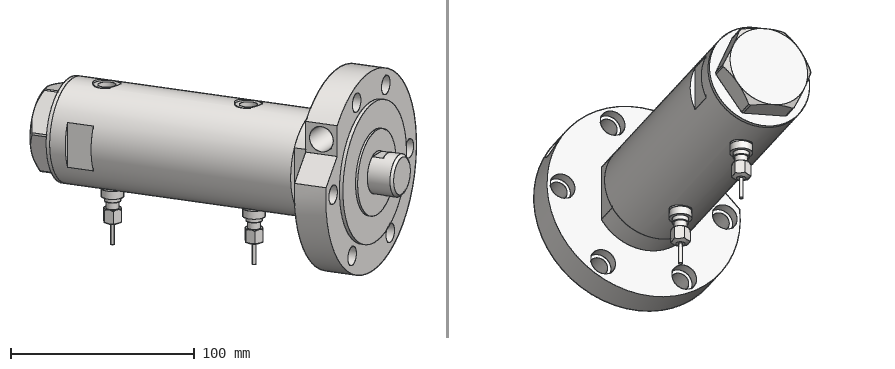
import cadquery as cq
import math


RING_START = 13.0
BARREL_START = 15.2
HEAD_START = 160.5
FLANGE_START = 175.9
FLANGE_END = 194.9
SPIGOT_END = 197.0
GLAND_END = 198.3
ROD_FLAT_END = 204.9
ROD_END = 213.5

BARREL_DIAMETER = 59.1
BARREL_RADIUS = BARREL_DIAMETER / 2
BORE_RADIUS = 22.5
BARREL_FLAT_START = 24.5
BARREL_FLAT_LENGTH = 15.5
BARREL_FLAT_OFFSET = 26.7

PORT_SPACING = 85.4
FIRST_PORT_X = 35.5
PORT_RADIUS = 5.0
SPOTFACE_RADIUS = 7.7
SPOTFACE_HEIGHT = 28.4

HEX_INRADIUS = 22.8
HEX_CORNER_RADIUS = 26.0
HEX_CHAMFER_LENGTH = 2.8
HEX_TURN = 7.0
CAP_PLUG_END = 25.6
CAP_NOSE_RADIUS = 18.1
CAP_NOSE_END = 38.5

PISTON_LENGTH = 25.6
ROD_RADIUS = 12.0
ROD_FLAT_OFFSET = 10.5
ROD_CHAMFER = 1.5

GLAND_START = 122.3
GLAND_RADIUS = 24.1

HUB_FLAT_OFFSET = 25.0
FLANGE_RADIUS = 57.0
SPIGOT_RADIUS = 40.0
NOTCH_OFFSET = 42.7
NOTCH_BOTTOM = 20.3
CROSS_HOLE_DIAMETER = 14.3
CROSS_HOLE_HEIGHT = 28.8
BOLT_CIRCLE_RADIUS = 47.8
BOLT_ANGLES = [0, 67.5, 112.5, 180, 240, 300]
BOLT_HOLE_RADIUS = 5.3
COUNTERBORE_RADIUS = 7.3
COUNTERBORE_DEPTH = 6.5

FIRST_SENSOR_X = 38.8
COLLAR_RADIUS = 6.2
BOSS_DEPTH = 30.0
COLLAR_DEPTH = 34.5
SHOULDER_RADIUS = 4.5
SHOULDER_DEPTH = 37.1
NECK_RADIUS = 3.6
NECK_DEPTH = 41.2
NUT_INRADIUS = 4.7
NUT_DEPTH = 50.0
NUT_TOP_CHAMFER = 0.6
NUT_CONE_LENGTH = 1.3
NUT_CONE_END_RADIUS = 2.5
CABLE_RADIUS = 1.0
SENSOR_DEPTH = 61.9


def x_cylinder(radius, start, end):
    return cq.Workplane("YZ").workplane(offset=start).circle(radius).extrude(end - start)


def z_cylinder(x, radius, low, high):
    return cq.Workplane("XY").workplane(offset=low).center(x, 0).circle(radius).extrude(high - low)


def hexagon_circumradius(inradius):
    return inradius / math.cos(math.pi / 6)


def block_between(x_range, y_range, z_range):
    ranges = (x_range, y_range, z_range)
    size = [high - low for low, high in ranges]
    corner = [low for low, high in ranges]
    return cq.Workplane("XY").box(*size, centered=False).translate(tuple(corner))


def cut_side_flats(body, offset, start, end):
    """Cut flats on the +Y and -Y sides, down to a distance from the axis."""
    reach = BARREL_RADIUS + 2.1
    for y_range in ((offset, reach), (-reach, -offset)):
        body = body.cut(block_between((start, end), y_range, (-reach, reach)))
    return body


def make_barrel():
    barrel = x_cylinder(BARREL_RADIUS, BARREL_START, HEAD_START)
    barrel = cut_side_flats(
        barrel, BARREL_FLAT_OFFSET, BARREL_FLAT_START, BARREL_FLAT_START + BARREL_FLAT_LENGTH
    )
    for x in sensor_places:
        barrel = barrel.union(z_cylinder(x, COLLAR_RADIUS, -BOSS_DEPTH, -BORE_RADIUS))
    barrel = barrel.cut(x_cylinder(BORE_RADIUS, BARREL_START, GLAND_START))
    barrel = barrel.cut(x_cylinder(GLAND_RADIUS, GLAND_START, HEAD_START))
    for x in port_places:
        barrel = barrel.cut(z_cylinder(x, PORT_RADIUS, 0, BARREL_RADIUS))
        barrel = barrel.cut(z_cylinder(x, SPOTFACE_RADIUS, SPOTFACE_HEIGHT, BARREL_RADIUS))
    return barrel


def make_cap():
    hexagon = (
        cq.Workplane("YZ")
        .polygon(6, 2 * hexagon_circumradius(HEX_INRADIUS))
        .extrude(RING_START)
        .rotate((0, 0, 0), (1, 0, 0), -HEX_TURN)
    )
    turned_envelope = (
        cq.Workplane("XY")
        .moveTo(0, 0)
        .lineTo(0, HEX_INRADIUS)
        .lineTo(HEX_CHAMFER_LENGTH, HEX_CORNER_RADIUS)
        .lineTo(RING_START, HEX_CORNER_RADIUS)
        .lineTo(RING_START, 0)
        .close()
        .revolve(360, (0, 0, 0), (1, 0, 0))
    )
    ring = x_cylinder(BARREL_RADIUS, RING_START, BARREL_START)
    plug = x_cylinder(BORE_RADIUS, BARREL_START, CAP_PLUG_END)
    nose = x_cylinder(CAP_NOSE_RADIUS, CAP_PLUG_END, CAP_NOSE_END)
    return hexagon.intersect(turned_envelope).union(ring).union(plug).union(nose)


def make_piston_rod():
    piston_end = CAP_NOSE_END + PISTON_LENGTH
    piston = x_cylinder(BORE_RADIUS, CAP_NOSE_END, piston_end)
    rod = x_cylinder(ROD_RADIUS, piston_end, ROD_END).faces(">X").chamfer(ROD_CHAMFER)
    for z_range in ((ROD_FLAT_OFFSET, ROD_RADIUS), (-ROD_RADIUS, -ROD_FLAT_OFFSET)):
        rod = rod.cut(block_between((GLAND_END, ROD_FLAT_END), (-ROD_RADIUS, ROD_RADIUS), z_range))
    return piston.union(rod)


def make_gland():
    gland = x_cylinder(GLAND_RADIUS, GLAND_START, GLAND_END)
    return gland.cut(x_cylinder(ROD_RADIUS, GLAND_START, GLAND_END))


def cut_flange_notch(flange):
    """Notch on the -Y side, with a vertical wall and a 45 degree wall below it."""
    rise = FLANGE_RADIUS - NOTCH_OFFSET
    notch = (
        cq.Workplane("YZ")
        .workplane(offset=FLANGE_START)
        .moveTo(-NOTCH_OFFSET, FLANGE_RADIUS)
        .lineTo(-NOTCH_OFFSET, NOTCH_BOTTOM)
        .lineTo(-NOTCH_OFFSET - rise, NOTCH_BOTTOM - rise)
        .lineTo(-NOTCH_OFFSET - rise, FLANGE_RADIUS)
        .close()
        .extrude(FLANGE_END - FLANGE_START)
    )
    return flange.cut(notch)


def cut_cross_hole(flange):
    """Hole along Y through the full width of the flange."""
    hole = (
        cq.Workplane("XZ")
        .workplane(offset=-FLANGE_RADIUS)
        .center((FLANGE_START + FLANGE_END) / 2, CROSS_HOLE_HEIGHT)
        .circle(CROSS_HOLE_DIAMETER / 2)
        .extrude(2 * FLANGE_RADIUS)
    )
    return flange.cut(hole)


def cut_bolt_holes(flange):
    """Through holes, counterbored from the barrel side."""
    for degrees in BOLT_ANGLES:
        angle = math.radians(degrees)
        place = (0, BOLT_CIRCLE_RADIUS * math.cos(angle), BOLT_CIRCLE_RADIUS * math.sin(angle))
        hole = x_cylinder(BOLT_HOLE_RADIUS, FLANGE_START, FLANGE_END)
        counterbore = x_cylinder(COUNTERBORE_RADIUS, FLANGE_START, FLANGE_START + COUNTERBORE_DEPTH)
        flange = flange.cut(hole.union(counterbore).translate(place))
    return flange


def make_head():
    hub = x_cylinder(BARREL_RADIUS, HEAD_START, FLANGE_START)
    hub = cut_side_flats(hub, HUB_FLAT_OFFSET, HEAD_START, FLANGE_START)
    flange = x_cylinder(FLANGE_RADIUS, FLANGE_START, FLANGE_END)
    flange = cut_bolt_holes(cut_cross_hole(cut_flange_notch(flange)))
    spigot = x_cylinder(SPIGOT_RADIUS, FLANGE_END, SPIGOT_END)
    head = hub.union(flange).union(spigot)
    return head.cut(x_cylinder(GLAND_RADIUS, HEAD_START, SPIGOT_END))


def make_sensor(x):
    collar = z_cylinder(x, COLLAR_RADIUS, -COLLAR_DEPTH, -BOSS_DEPTH)
    shoulder = z_cylinder(x, SHOULDER_RADIUS, -SHOULDER_DEPTH, -COLLAR_DEPTH)
    neck = z_cylinder(x, NECK_RADIUS, -NECK_DEPTH, -SHOULDER_DEPTH)
    nut_corner_radius = hexagon_circumradius(NUT_INRADIUS)
    nut = (
        cq.Workplane("XY")
        .workplane(offset=-NUT_DEPTH)
        .center(x, 0)
        .polygon(6, 2 * nut_corner_radius)
        .extrude(NUT_DEPTH - NECK_DEPTH)
    )
    nut_envelope = (
        z_cylinder(x, nut_corner_radius, -NUT_DEPTH, -NECK_DEPTH)
        .faces(">Z")
        .chamfer(NUT_TOP_CHAMFER)
        .faces("<Z")
        .chamfer(NUT_CONE_LENGTH, nut_corner_radius - NUT_CONE_END_RADIUS)
    )
    nut = nut.intersect(nut_envelope)
    cable = z_cylinder(x, CABLE_RADIUS, -SENSOR_DEPTH, -NUT_DEPTH)
    return collar.union(shoulder).union(neck).union(nut).union(cable)


port_places = [FIRST_PORT_X, FIRST_PORT_X + PORT_SPACING]
sensor_places = [FIRST_SENSOR_X, FIRST_SENSOR_X + PORT_SPACING]

barrel = make_barrel()
cap = make_cap()
piston_rod = make_piston_rod()
gland = make_gland()
head = make_head()
sensors = [make_sensor(x) for x in sensor_places]

result = cq.Compound.makeCompound(
    [barrel.val(), cap.val(), piston_rod.val(), gland.val(), head.val()]
    + [sensor.val() for sensor in sensors]
)